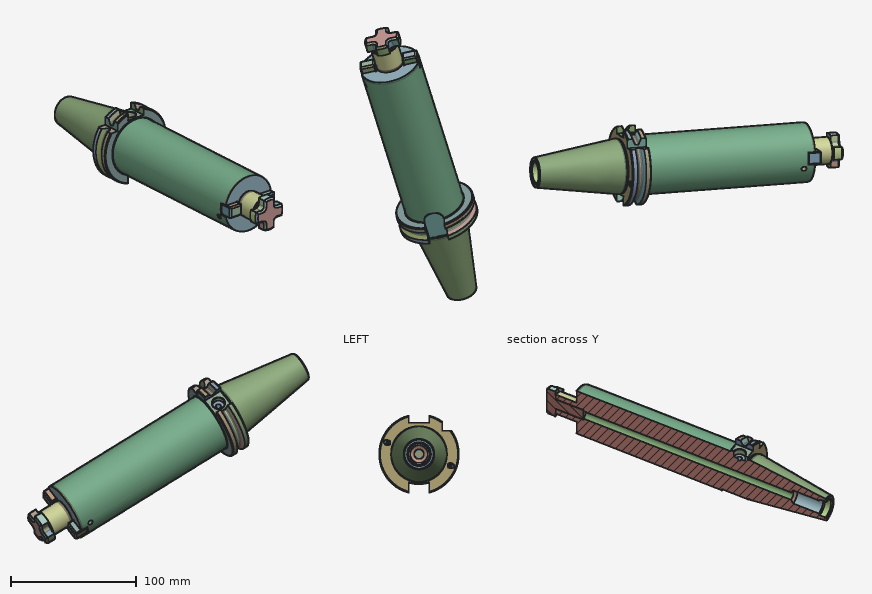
import cadquery as cq
import math


GAUGE_X = 69.0
FLANGE_START_X = 71.8
FLANGE_END_X = 87.5
BODY_END_X = 228.3
PILOT_END_X = 247.5
TOTAL_LENGTH = 255.5

TOLERANCE = 0.003

TAPER_SMALL_D = 24.5
TAPER_LARGE_D = 44.7
FLANGE_D = 63.5
BODY_D = 48.0
PILOT_D = 22.0

TAPER_CHAMFER = 0.8
FLANGE_CHAMFER = 0.8
FLANGE_FILLET = 0.5
PILOT_CHAMFER = 0.8
BODY_LEAD_LENGTH = 1.3
BODY_LEAD_DEPTH = 0.2
TAPER_RELIEF_WIDTH = 1.5
TAPER_RELIEF_DEPTH = 0.5
RELIEF_SLOPE_LENGTH = 0.8
PILOT_RELIEF_WIDTH = 2.0
PILOT_RELIEF_DEPTH = 0.13

GROOVE_CENTRE_X = 79.7
GROOVE_MOUTH = 7.2
GROOVE_DEPTH = 3.8
GROOVE_SIDE_ANGLE = 30
GROOVE_FILLET = 1.0

SLOT_WIDTH = 16.0
TOP_SLOT_FLOOR = 25.0
BOTTOM_SLOT_FLOOR = 22.7
NOTCH_Y = 18.6
NOTCH_Z = 18.6

CHIP_D = 10.0
CHIP_RIM_CHAMFER = 0.38
CHIP_DEPTH = 5.5
CHIP_DRILL_D = 4.0
CHIP_DRILL_DEPTH = 2.5

BORE_CHAMFER = 1.0
COUNTERBORE_D = 17.0
COUNTERBORE_DEPTH = 6.5
BORE_D = 14.0
BORE_DEPTH = 30.6
COOLANT_BORE_D = 7.7
DRILL_TIP_ANGLE = 59

HOLE_D = 4.0
HOLE_AZIMUTH = 20
FLANGE_HOLE_RADIUS = 27.0
FLANGE_HOLE_SLOPE = 40
FLANGE_HOLE_DEPTH = 12.8
FLANGE_HOLE_LEAD = 2.5
BODY_HOLE_X = 219.1
BODY_HOLE_DEPTH = 6.5

PLUG_RECESS = 1.5
PLUG_LENGTH = 4.0
SOCKET_D = 2.3
SOCKET_DEPTH = 2.0

KEY_WIDTH = 10.0
KEY_START_X = 222.5
KEY_END_X = 234.0
KEY_INNER_Y = 11.2
KEY_OUTER_Y = 23.2
KEY_CHAMFER = 0.8
KEY_END_CHAMFER = 1.3

HEAD_D = 28.0
HEAD_CHAMFER = 1.5
ARM_WIDTH = 10.2
ARM_ROOT_RADIUS = 2.8
SHANK_D = 10.0
SHANK_LENGTH = 25.5


def cone_length(large_d, small_d, half_angle):
    """Axial length of a cone between two diameters."""
    return (large_d - small_d) / 2 / math.tan(math.radians(half_angle))


def revolve_about_x(points):
    """Solid of revolution about X from a closed outline of (x, radius) points."""
    return cq.Workplane("XZ").polyline(points).close().revolve(360, (0, 0, 0), (1, 0, 0))


def rod_along_x(start_x, end_x, diameter):
    return cq.Workplane("YZ", origin=(start_x, 0, 0)).circle(diameter / 2).extrude(end_x - start_x)


class RingEdges(cq.Selector):
    """Selects the circular edges of one radius that are centred on the axis at given places."""

    def __init__(self, radius, *places_x):
        self.radius = radius
        self.places_x = places_x

    def filter(self, edges):
        return [edge for edge in edges if self.matches(edge)]

    def matches(self, edge):
        if edge.geomType() != "CIRCLE" or abs(edge.radius() - self.radius) > TOLERANCE:
            return False
        return any(abs(edge.arcCenter().x - place) < TOLERANCE for place in self.places_x)


def make_blank():
    """Turned outside of the holder."""
    taper_r = TAPER_LARGE_D / 2
    flange_r = FLANGE_D / 2
    body_r = BODY_D / 2
    pilot_r = PILOT_D / 2
    small_r = TAPER_SMALL_D / 2
    relief_start_x = FLANGE_START_X - TAPER_RELIEF_WIDTH
    relief_r = taper_r - TAPER_RELIEF_DEPTH
    pilot_relief_x = BODY_END_X + PILOT_RELIEF_WIDTH
    pilot_relief_r = pilot_r - PILOT_RELIEF_DEPTH
    groove_mouth_start = GROOVE_CENTRE_X - GROOVE_MOUTH / 2
    groove_mouth_end = GROOVE_CENTRE_X + GROOVE_MOUTH / 2
    groove_run = GROOVE_DEPTH * math.tan(math.radians(GROOVE_SIDE_ANGLE))
    groove_r = flange_r - GROOVE_DEPTH
    blank = revolve_about_x([
        (0, 0),
        (0, small_r - TAPER_CHAMFER),
        (TAPER_CHAMFER, small_r),
        (GAUGE_X, taper_r),
        (relief_start_x, taper_r),
        (relief_start_x + RELIEF_SLOPE_LENGTH, relief_r),
        (FLANGE_START_X, relief_r),
        (FLANGE_START_X, flange_r - FLANGE_CHAMFER),
        (FLANGE_START_X + FLANGE_CHAMFER, flange_r),
        (groove_mouth_start, flange_r),
        (groove_mouth_start + groove_run, groove_r),
        (groove_mouth_end - groove_run, groove_r),
        (groove_mouth_end, flange_r),
        (FLANGE_END_X - FLANGE_CHAMFER, flange_r),
        (FLANGE_END_X, flange_r - FLANGE_CHAMFER),
        (FLANGE_END_X, body_r),
        (BODY_END_X - BODY_LEAD_LENGTH, body_r),
        (BODY_END_X, body_r - BODY_LEAD_DEPTH),
        (BODY_END_X, pilot_relief_r),
        (pilot_relief_x - RELIEF_SLOPE_LENGTH, pilot_relief_r),
        (pilot_relief_x, pilot_r),
        (PILOT_END_X - PILOT_CHAMFER, pilot_r),
        (PILOT_END_X, pilot_r - PILOT_CHAMFER),
        (PILOT_END_X, 0),
    ])
    floor_corners = RingEdges(groove_r, groove_mouth_start + groove_run, groove_mouth_end - groove_run)
    blank = blank.edges(floor_corners).fillet(GROOVE_FILLET)
    return blank.edges(RingEdges(body_r, FLANGE_END_X)).fillet(FLANGE_FILLET)


def drive_slot(floor_z, outer_z):
    """Milled slot across the flange, with a rounded end past its rear face."""
    outline = (
        cq.Workplane("XY", origin=(0, 0, floor_z))
        .moveTo(FLANGE_START_X, -SLOT_WIDTH / 2)
        .lineTo(FLANGE_END_X, -SLOT_WIDTH / 2)
        .threePointArc((FLANGE_END_X + SLOT_WIDTH / 2, 0), (FLANGE_END_X, SLOT_WIDTH / 2))
        .lineTo(FLANGE_START_X, SLOT_WIDTH / 2)
        .close()
    )
    return outline.extrude(outer_z - floor_z)


def corner_notch():
    reach = FLANGE_D / 2
    return cq.Workplane("XY").box(
        FLANGE_END_X - FLANGE_START_X, reach, reach, centered=False
    ).translate((FLANGE_START_X, -NOTCH_Y - reach, NOTCH_Z))


def chip_recess():
    recess = (
        cq.Workplane("XY", origin=(GROOVE_CENTRE_X, 0, TOP_SLOT_FLOOR))
        .circle(CHIP_D / 2)
        .extrude(-CHIP_DEPTH)
    )
    rim = cq.Solid.makeCone(
        CHIP_D / 2 + CHIP_RIM_CHAMFER, CHIP_D / 2, CHIP_RIM_CHAMFER,
        pnt=cq.Vector(GROOVE_CENTRE_X, 0, TOP_SLOT_FLOOR), dir=cq.Vector(0, 0, -1),
    )
    recess_floor = TOP_SLOT_FLOOR - CHIP_DEPTH
    drill = cq.Solid.makeCone(
        CHIP_DRILL_D / 2, 0, CHIP_DRILL_DEPTH,
        pnt=cq.Vector(GROOVE_CENTRE_X, 0, recess_floor), dir=cq.Vector(0, 0, -1),
    )
    return recess.union(cq.Workplane(rim)).union(cq.Workplane(drill))


def draw_bar_bore():
    """Stepped bore from the taper end to the screw hole."""
    step_end_x = COUNTERBORE_DEPTH + cone_length(COUNTERBORE_D, BORE_D, DRILL_TIP_ANGLE)
    tip_end_x = BORE_DEPTH + cone_length(BORE_D, COOLANT_BORE_D, DRILL_TIP_ANGLE)
    screw_hole_x = PILOT_END_X - SHANK_LENGTH
    return revolve_about_x([
        (0, 0),
        (0, COUNTERBORE_D / 2 + BORE_CHAMFER),
        (BORE_CHAMFER, COUNTERBORE_D / 2),
        (COUNTERBORE_DEPTH, COUNTERBORE_D / 2),
        (step_end_x, BORE_D / 2),
        (BORE_DEPTH, BORE_D / 2),
        (tip_end_x, COOLANT_BORE_D / 2),
        (screw_hole_x, COOLANT_BORE_D / 2),
        (screw_hole_x, 0),
    ])


def screw_hole():
    return rod_along_x(PILOT_END_X - SHANK_LENGTH, PILOT_END_X, SHANK_D)


def at_hole_azimuths(shape):
    """Two copies of a shape made on the +Y side, turned about X to opposite places."""
    return [shape.rotate((0, 0, 0), (1, 0, 0), HOLE_AZIMUTH + turn) for turn in (0, 180)]


def flange_hole():
    slope = math.radians(FLANGE_HOLE_SLOPE)
    axis = cq.Vector(math.cos(slope), -math.sin(slope), 0)
    mouth = cq.Vector(FLANGE_START_X, FLANGE_HOLE_RADIUS, 0)
    start = mouth - axis * FLANGE_HOLE_LEAD
    hole = cq.Solid.makeCylinder(HOLE_D / 2, FLANGE_HOLE_LEAD + FLANGE_HOLE_DEPTH, start, axis)
    return cq.Workplane(hole)


def body_hole():
    hole = (
        cq.Workplane("XZ", origin=(BODY_HOLE_X, BODY_D / 2, 0))
        .circle(HOLE_D / 2)
        .extrude(BODY_HOLE_DEPTH)
    )
    tip = cq.Solid.makeCone(
        HOLE_D / 2, 0, cone_length(HOLE_D, 0, DRILL_TIP_ANGLE),
        pnt=cq.Vector(BODY_HOLE_X, BODY_D / 2 - BODY_HOLE_DEPTH, 0), dir=cq.Vector(0, -1, 0),
    )
    return hole.union(cq.Workplane(tip))


def key_block(outer_y):
    """Block of the key's width on the +Y side, as long as the key."""
    return cq.Workplane("XY").box(
        KEY_END_X - KEY_START_X, outer_y - KEY_INNER_Y, KEY_WIDTH, centered=(False, False, True)
    ).translate((KEY_START_X, KEY_INNER_Y, 0))


def on_both_sides(shape):
    """The shape on the +Y side and its copy half a turn about X."""
    return [shape.rotate((0, 0, 0), (1, 0, 0), turn) for turn in (0, 180)]


def make_holder():
    holder = make_blank()
    holder = holder.cut(drive_slot(TOP_SLOT_FLOOR, FLANGE_D / 2))
    holder = holder.cut(drive_slot(-BOTTOM_SLOT_FLOOR, -FLANGE_D / 2))
    holder = holder.cut(corner_notch())
    holder = holder.cut(chip_recess())
    holder = holder.cut(draw_bar_bore())
    holder = holder.cut(screw_hole())
    for hole in at_hole_azimuths(flange_hole()) + at_hole_azimuths(body_hole()):
        holder = holder.cut(hole)
    for slot in on_both_sides(key_block(BODY_D / 2)):
        holder = holder.cut(slot)
    return holder


def make_drive_key():
    block = key_block(KEY_OUTER_Y)
    side_chamfers = block.edges("|X or <X").chamfer(KEY_CHAMFER)
    end_chamfers = block.faces(">X").chamfer(KEY_END_CHAMFER)
    return side_chamfers.intersect(end_chamfers)


def make_screw():
    """Cross-shaped head with a shank in the pilot."""
    head_length = TOTAL_LENGTH - PILOT_END_X
    head = rod_along_x(PILOT_END_X, TOTAL_LENGTH, HEAD_D)
    notch = (
        cq.Workplane("YZ", origin=(PILOT_END_X, 0, 0))
        .rect(HEAD_D, HEAD_D, centered=False)
        .extrude(head_length)
        .edges("|X and <Y and <Z")
        .fillet(ARM_ROOT_RADIUS)
        .translate((0, ARM_WIDTH / 2, ARM_WIDTH / 2))
    )
    for quarter in range(4):
        head = head.cut(notch.rotate((0, 0, 0), (1, 0, 0), 90 * quarter))
    head = head.faces(">X").chamfer(HEAD_CHAMFER)
    shank = rod_along_x(PILOT_END_X - SHANK_LENGTH, PILOT_END_X, SHANK_D)
    return head.union(shank)


def make_plug():
    """Set screw in a flange hole on the +Y side, with a hexagon socket."""
    slope = math.radians(FLANGE_HOLE_SLOPE)
    plane = cq.Plane(
        origin=(FLANGE_START_X, FLANGE_HOLE_RADIUS, 0),
        xDir=(0, 0, 1),
        normal=(math.cos(slope), -math.sin(slope), 0),
    )
    plug = cq.Workplane(plane).workplane(offset=PLUG_RECESS).circle(HOLE_D / 2).extrude(PLUG_LENGTH)
    socket = (
        cq.Workplane(plane)
        .workplane(offset=PLUG_RECESS)
        .polygon(6, SOCKET_D)
        .extrude(SOCKET_DEPTH)
    )
    return plug.cut(socket)


holder = make_holder()
keys = on_both_sides(make_drive_key())
screw = make_screw()
plugs = at_hole_azimuths(make_plug())

bodies = [holder, screw, *keys, *plugs]
result = cq.Compound.makeCompound([body.solids().val() for body in bodies])